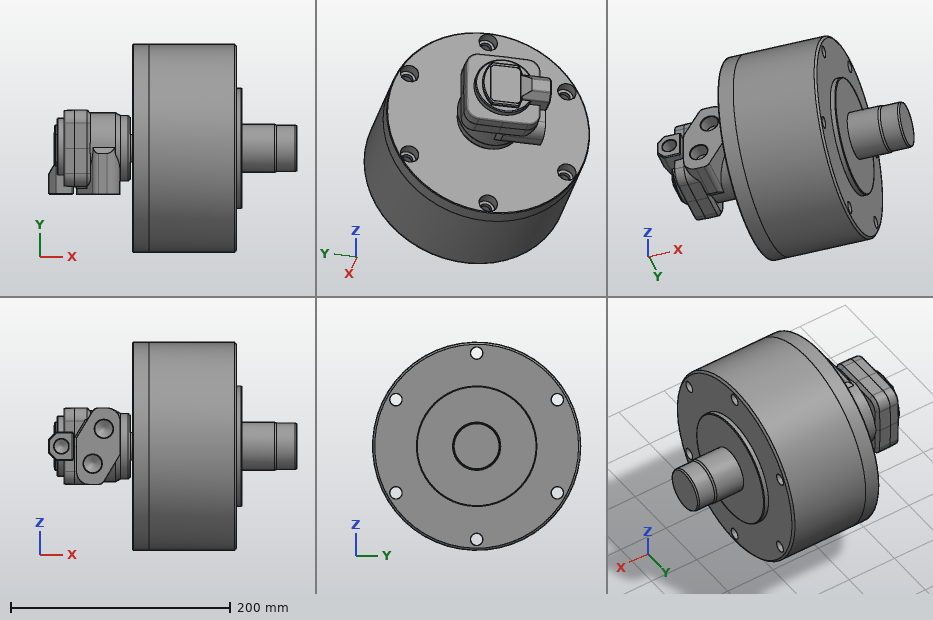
import cadquery as cq
import math


DRUM_RADIUS = 95.0
COVER_THICKNESS = 15.0
DRUM_END_X = 95.0
COVER_CHAMFER = 0.8
DRUM_CHAMFER = 2.0
BOSS_RADIUS = 55.0
BOSS_HEIGHT = 5.0
BOSS_CHAMFER = 0.8
BOSS_END_X = DRUM_END_X + BOSS_HEIGHT

BOLT_COUNT = 6
BOLT_CIRCLE_RADIUS = 85.0
BOLT_HOLE_DIAMETER = 11.0
BOLT_HEAD_DIAMETER = 17.0
BOLT_HEAD_DEPTH = 11.0

SHAFT_RADIUS = 22.0
SHAFT_SHOULDER_END_X = 129.6
SHOULDER_TAPER_LENGTH = 2.0
SHAFT_TIP_RADIUS = 21.25
SHAFT_END_X = 150.0
SHAFT_TIP_CHAMFER = (1.75, 0.75)

NECK_RADIUS = 12.7
NECK_LENGTH = 2.0
FLANGE_RADIUS = 30.0
FLANGE_CHAMFER = 2.0
FLANGE_START_X = -11.0
BARREL_RADIUS = 32.5
BARREL_END_X = -15.5
SQUARE_CHAMFER_START_X = -41.4
SQUARE_CHAMFER = 3.2
JOINT_X = -53.0

SQUARE_HALF = 34.6
SIDE_CROWN = 0.5
SQUARE_CORNER_RADIUS = 12.0

PORT_FACE_Y = -42.0
PORT_BLOCK_X = -31.2
PORT_BLOCK_HALF_WIDTH = 19.8
PORT_BLOCK_HALF_HEIGHT = 35.0
PORT_LARGE_RADIUS = 12.0
PORT_SMALL_RADIUS = 6.0
PORT_SLOPE_END = (3.3, PORT_BLOCK_HALF_HEIGHT)
PORT_SLOPE_START_Z = 7.8
SLOPE_STRIP_SIZE = 1.8
PORT_BEVEL_START_Y = -4.7
PORT_BLOCK_BACK_Y = 0.8
PORT_BEVEL_RISE = 2.6
PORT_OFFSET_X = 5.1
PORT_OFFSET_Z = 15.9
PORT_RADIUS = 8.3
PORT_DEPTH = 14.0

CAP_FACE_X = -62.5
CAP_FACE_FILLET = 1.0
CAP_TAPER = 3.0
DISC_RADIUS = 27.6
DISC_FACE_X = -68.7
DISC_CHAMFER = 1.0
PAD_FACE_X = -71.3
PAD_ARC_REACH = 21.2
PAD_HALF_HEIGHT = 22.0
PAD_HALF_WIDTH = 12.5
PAD_RIGHT_Y = -16.0
PAD_CHAMFER = 1.0
PLATE_FACE_X = -71.6
PLATE_HALF_WIDTH = 14.0
PLATE_HALF_HEIGHT = 18.8
PLATE_CORNER = 2.6

DRAIN_FACE_Y = PORT_FACE_Y
DRAIN_LEFT_X = -76.5
DRAIN_RIGHT_X = -54.0
DRAIN_HALF_HEIGHT = 13.0
DRAIN_CORNER = 6.7
DRAIN_EDGE_FILLET = 1.5
DRAIN_SLOPE_OUTER_Y = -23.6
DRAIN_SLOPE_INNER_Y = -14.5
DRAIN_FACE_CHAMFER = 1.0
DRAIN_PORT_X = -64.8
DRAIN_PORT_RADIUS = 6.6
DRAIN_PORT_DEPTH = 14.0

PORT_MOUTH_CHAMFER = 0.5
DRILL_POINT_ANGLE = 118.0


def turned(profile):
    """Solid of revolution about X from (x, radius) points, closed along the axis."""
    first_x = profile[0][0]
    last_x = profile[-1][0]
    points = [(first_x, 0), *profile, (last_x, 0)]
    return cq.Workplane("XY").polyline(points).close().revolve(360, (0, 0, 0), (1, 0, 0))


def bolt_cylinders(diameter, start_x, end_x):
    """One cylinder along X at each bolt position, between start_x and end_x."""
    return (
        cq.Workplane("YZ", origin=(start_x, 0, 0))
        .polarArray(BOLT_CIRCLE_RADIUS, 90, 360, BOLT_COUNT)
        .circle(diameter / 2)
        .extrude(end_x - start_x)
    )


def drilled_port(x, z, face_y, radius, depth):
    """Blind hole with a chamfered mouth and a drill point, entering in +Y from the face at face_y."""
    point_length = radius / math.tan(math.radians(DRILL_POINT_ANGLE / 2))
    return (
        cq.Workplane("XY", origin=(x, face_y, z))
        .polyline([
            (0, 0),
            (radius + PORT_MOUTH_CHAMFER, 0),
            (radius, PORT_MOUTH_CHAMFER),
            (radius, depth),
            (0, depth + point_length),
        ])
        .close()
        .revolve(360, (0, 0, 0), (0, 1, 0))
    )


def crowned_square(length, taper=0.0):
    """Square block along X from the joint, with slightly peaked sides and rounded corners.

    A negative length runs towards -X; the taper angle narrows the block away from the joint.
    """
    half = SQUARE_HALF
    crest = SQUARE_HALF + SIDE_CROWN
    outline = cq.Sketch().polygon([
        (half, half), (0, crest), (-half, half), (-crest, 0),
        (-half, -half), (0, -crest), (half, -half), (crest, 0), (half, half),
    ])
    for y_side in (1, -1):
        for z_side in (1, -1):
            corner = (y_side * half, z_side * half, 0)
            outline = outline.vertices(cq.selectors.NearestToPointSelector(corner))
            outline = outline.fillet(SQUARE_CORNER_RADIUS).reset()
    return (
        cq.Workplane("YZ", origin=(JOINT_X, 0, 0))
        .placeSketch(outline)
        .extrude(length, taper=taper)
    )


def make_cover():
    cover = turned([
        (0, DRUM_RADIUS - COVER_CHAMFER),
        (COVER_CHAMFER, DRUM_RADIUS),
        (COVER_THICKNESS, DRUM_RADIUS),
    ])
    cover = cover.cut(bolt_cylinders(BOLT_HOLE_DIAMETER, 0, COVER_THICKNESS))
    return cover.cut(bolt_cylinders(BOLT_HEAD_DIAMETER, 0, BOLT_HEAD_DEPTH))


def make_drum():
    drum = turned([
        (COVER_THICKNESS, DRUM_RADIUS),
        (DRUM_END_X - DRUM_CHAMFER, DRUM_RADIUS),
        (DRUM_END_X, DRUM_RADIUS - DRUM_CHAMFER),
        (DRUM_END_X, BOSS_RADIUS),
        (BOSS_END_X - BOSS_CHAMFER, BOSS_RADIUS),
        (BOSS_END_X, BOSS_RADIUS - BOSS_CHAMFER),
    ])
    return drum.cut(bolt_cylinders(BOLT_HOLE_DIAMETER, COVER_THICKNESS, DRUM_END_X))


def make_shaft():
    tip_length, tip_drop = SHAFT_TIP_CHAMFER
    return turned([
        (BOSS_END_X, SHAFT_RADIUS),
        (SHAFT_SHOULDER_END_X, SHAFT_RADIUS),
        (SHAFT_SHOULDER_END_X + SHOULDER_TAPER_LENGTH, SHAFT_TIP_RADIUS),
        (SHAFT_END_X - tip_length, SHAFT_TIP_RADIUS),
        (SHAFT_END_X, SHAFT_TIP_RADIUS - tip_drop),
    ])


def port_block():
    """Six-sided block with half-turn symmetry about its middle, bevelled where it meets the barrel."""
    slope_x, top_z = PORT_SLOPE_END
    half_outline = [
        (-slope_x, top_z),
        (PORT_BLOCK_HALF_WIDTH, top_z),
        (PORT_BLOCK_HALF_WIDTH, -PORT_SLOPE_START_Z),
    ]
    outline = half_outline + [(-x, -z) for x, z in half_outline]
    block = (
        cq.Workplane("XZ", origin=(PORT_BLOCK_X, PORT_BLOCK_BACK_Y, 0))
        .polyline(outline)
        .close()
        .extrude(PORT_BLOCK_BACK_Y - PORT_FACE_Y)
    )
    for side in (1, -1):
        large_corner = (PORT_BLOCK_X + side * PORT_BLOCK_HALF_WIDTH, 0, side * top_z)
        small_corner = (PORT_BLOCK_X - side * slope_x, 0, side * top_z)
        block = block.edges("|Y").edges(cq.selectors.NearestToPointSelector(large_corner))
        block = block.fillet(PORT_LARGE_RADIUS)
        block = block.edges("|Y").edges(cq.selectors.NearestToPointSelector(small_corner))
        block = block.fillet(PORT_SMALL_RADIUS)
    bevel = (
        cq.Workplane("YZ", origin=(PORT_BLOCK_X, 0, 0))
        .polyline([
            (PORT_BEVEL_START_Y, top_z),
            (PORT_BLOCK_BACK_Y, top_z),
            (PORT_BLOCK_BACK_Y, top_z - PORT_BEVEL_RISE),
        ])
        .close()
        .extrude(PORT_BLOCK_HALF_WIDTH, both=True)
    )
    return block.cut(bevel).cut(bevel.mirror("XY"))


def slope_strip():
    """Strip that bevels the corner between the port block's upper slope and the square's -Y side."""
    start_x = PORT_BLOCK_X - PORT_BLOCK_HALF_WIDTH
    run = PORT_BLOCK_HALF_WIDTH - PORT_SLOPE_END[0]
    rise = PORT_BLOCK_HALF_HEIGHT - PORT_SLOPE_START_Z
    strip_length = (SQUARE_CHAMFER_START_X - start_x) * math.hypot(run, rise) / run
    strip_plane = cq.Plane(
        origin=(start_x, -SQUARE_HALF, PORT_SLOPE_START_Z),
        xDir=(-rise, 0, run),
        normal=(run, 0, rise),
    )
    return (
        cq.Workplane(strip_plane)
        .polyline([
            (-SLOPE_STRIP_SIZE, SLOPE_STRIP_SIZE),
            (0, SLOPE_STRIP_SIZE),
            (SLOPE_STRIP_SIZE, 0),
            (SLOPE_STRIP_SIZE, -SLOPE_STRIP_SIZE),
            (-SLOPE_STRIP_SIZE, -SLOPE_STRIP_SIZE),
        ])
        .close()
        .extrude(strip_length)
    )


def make_motor_body():
    barrel = turned([
        (JOINT_X, BARREL_RADIUS),
        (BARREL_END_X, BARREL_RADIUS),
        (FLANGE_START_X, FLANGE_RADIUS),
        (-NECK_LENGTH - FLANGE_CHAMFER, FLANGE_RADIUS),
        (-NECK_LENGTH, FLANGE_RADIUS - FLANGE_CHAMFER),
        (-NECK_LENGTH, NECK_RADIUS),
        (0, NECK_RADIUS),
    ])
    square = crowned_square(SQUARE_CHAMFER_START_X + SQUARE_CHAMFER - JOINT_X)
    square = square.faces(">X").chamfer(SQUARE_CHAMFER)
    body = barrel.union(square).union(port_block()).union(slope_strip())
    for side in (1, -1):
        port_x = PORT_BLOCK_X + side * PORT_OFFSET_X
        port_z = side * PORT_OFFSET_Z
        body = body.cut(drilled_port(port_x, port_z, PORT_FACE_Y, PORT_RADIUS, PORT_DEPTH))
    return body


def raised_pad():
    """Flat-topped pad on the cap disc, rounded towards +Y, carrying a thin rectangular plate."""
    pad = (
        cq.Workplane("YZ", origin=(PAD_FACE_X, 0, 0))
        .moveTo(-PAD_HALF_WIDTH, PAD_HALF_HEIGHT)
        .lineTo(PAD_HALF_WIDTH, PAD_HALF_HEIGHT)
        .threePointArc((PAD_ARC_REACH, 0), (PAD_HALF_WIDTH, -PAD_HALF_HEIGHT))
        .lineTo(-PAD_HALF_WIDTH, -PAD_HALF_HEIGHT)
        .lineTo(PAD_RIGHT_Y, -DRAIN_HALF_HEIGHT)
        .lineTo(PAD_RIGHT_Y, DRAIN_HALF_HEIGHT)
        .close()
        .extrude(DISC_FACE_X - PAD_FACE_X)
        .faces("<X")
        .chamfer(PAD_CHAMFER)
    )
    plate = (
        cq.Workplane("YZ", origin=(PLATE_FACE_X, 0, 0))
        .rect(2 * PLATE_HALF_WIDTH, 2 * PLATE_HALF_HEIGHT)
        .extrude(PAD_FACE_X - PLATE_FACE_X)
        .edges("|X")
        .chamfer(PLATE_CORNER)
    )
    return pad.union(plate)


def drain_block():
    """Drain port block with two cut corners and a slope down to the pad."""
    block = (
        cq.Workplane("XZ", origin=(0, DRAIN_SLOPE_INNER_Y, 0))
        .polyline([
            (DRAIN_RIGHT_X, DRAIN_HALF_HEIGHT),
            (DRAIN_LEFT_X + DRAIN_CORNER, DRAIN_HALF_HEIGHT),
            (DRAIN_LEFT_X, DRAIN_HALF_HEIGHT - DRAIN_CORNER),
            (DRAIN_LEFT_X, DRAIN_CORNER - DRAIN_HALF_HEIGHT),
            (DRAIN_LEFT_X + DRAIN_CORNER, -DRAIN_HALF_HEIGHT),
            (DRAIN_RIGHT_X, -DRAIN_HALF_HEIGHT),
        ])
        .close()
        .extrude(DRAIN_SLOPE_INNER_Y - DRAIN_FACE_Y)
        .edges("|Y")
        .fillet(DRAIN_EDGE_FILLET)
        .faces("<Y")
        .chamfer(DRAIN_FACE_CHAMFER)
    )
    slope = (
        cq.Workplane("XY")
        .polyline([
            (DRAIN_LEFT_X, DRAIN_SLOPE_OUTER_Y),
            (DRAIN_LEFT_X, DRAIN_SLOPE_INNER_Y),
            (PAD_FACE_X, DRAIN_SLOPE_INNER_Y),
        ])
        .close()
        .extrude(DRAIN_HALF_HEIGHT, both=True)
    )
    return block.cut(slope)


def make_end_cap():
    cap = crowned_square(CAP_FACE_X - JOINT_X, CAP_TAPER)
    cap = cap.faces("<X").fillet(CAP_FACE_FILLET)
    disc = turned([
        (DISC_FACE_X, DISC_RADIUS - DISC_CHAMFER),
        (DISC_FACE_X + DISC_CHAMFER, DISC_RADIUS),
        (CAP_FACE_X, DISC_RADIUS),
    ])
    cap = cap.union(disc).union(raised_pad()).union(drain_block())
    return cap.cut(drilled_port(DRAIN_PORT_X, 0, DRAIN_FACE_Y, DRAIN_PORT_RADIUS, DRAIN_PORT_DEPTH))


cover = make_cover()
drum = make_drum()
shaft = make_shaft()
motor_body = make_motor_body()
end_cap = make_end_cap()

result = cq.Compound.makeCompound([
    cover.val(),
    drum.val(),
    shaft.val(),
    motor_body.val(),
    end_cap.val(),
])